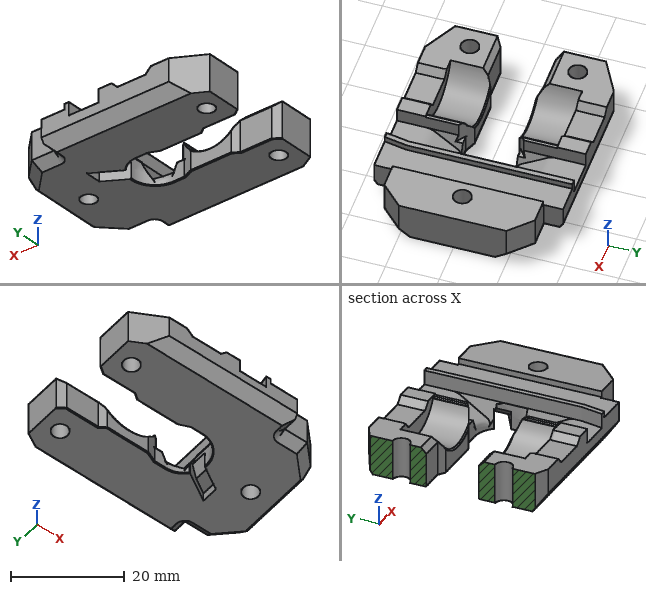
import cadquery as cq
import math

LENGTH = 44.55
WIDTH = 35.0
HEIGHT = 7.8
HALF_WIDTH = WIDTH / 2

NOSE_HALF_WIDTH = 13.95
ARM_TAPER_LENGTH = 6.45
BODY_END_X = 35.45
TAB_CORNER = 4.0

SIDE_BEVEL_WIDTH = 1.9
SIDE_BEVEL_HEIGHT = 2.9
REAR_BEVEL = 1.9
TAB_END_BEVEL = 0.45

HOLE_DIAMETER = 3.35
ARM_HOLE_X = 3.95
ARM_HOLE_Y = 10.0
TAB_HOLE_X = 39.05

ARM_INNER_Y = 5.1
ARM_TOP_BEVEL = 1.05
ARM_TIP_CORNER = 1.5
PAD_INNER_Y = 4.15
PAD_START_X = 8.65
PAD_FLAT_START_X = 9.95
PAD_FLAT_END_X = 19.2
PAD_END_X = 21.4
THROAT_ARC_X = 23.6
THROAT_END_X = 29.0
THROAT_FOOT_BEVEL = 0.2

SEAT_X = 14.95
SEAT_HALF_CHORD = 6.77
SEAT_DEPTH = 4.7
SEAT_OUTER_Y = 12.15
SEAT_RIM_BEVEL = 0.25
SEAT_RADIUS = (SEAT_HALF_CHORD**2 + SEAT_DEPTH**2) / (2 * SEAT_DEPTH)
SEAT_Z = HEIGHT - SEAT_DEPTH + SEAT_RADIUS

NOTCH_FLOOR_START_X = 11.8
NOTCH_FLOOR_END_X = 18.2
NOTCH_DEPTH = 1.3
NOTCH_END_FLARE = 0.2
NOTCH_END_FLARE_LENGTH = 0.5

SLOT_START_X = 22.5
SLOT_DEPTH = 2.8
WALL_X = 29.2
WALL_THICKNESS = 1.02
WALL_BEND_Y = -13.15
WALL_END_SHIFT = 0.75
LEDGE_END_X = 35.8
LEDGE_DEPTH = 1.15
SLOT_FLOOR_Z = HEIGHT - SLOT_DEPTH

LIP_START_X = 21.55
LIP_TOP_Z = 7.58
LIP_BEVEL = 0.3
LIP_CORNER_Z = 3.8
LIP_CORNER_X = 20.7
LIP_CORNER_Y = 6.9
LIP_CORNER_INNER_Y = 4.65

RAMP_TOP_Y = 11.15
RAMP_FOOT_Y = 5.75
RAMP_FOOT_Z = 2.55
RAMP_SIDE_INSET = 1.15
RAMP_TOP_RADIUS = 4.0
RAMP_INNER_Y = 2.67
RAMP_RIM_RADIUS = 1.35

RELIEF_X = 28.0
RELIEF_START_Y = 0.45
RELIEF_END_Y = 3.3
RELIEF_TOP_Z = 3.65
RELIEF_TUNNEL_X = 33.85
RELIEF_TUNNEL_SLOPE = 0.6
RELIEF_TUNNEL_Z = 1.95

HOLLOW_HALF_WIDTH = 4.1
HOLLOW_ARC_X = 26.85
HOLLOW_TOP_X = 29.0
HOLLOW_TOP_BULGE = 0.1

MARGIN = 2.25


def both_sides(shape):
    return shape.union(shape.mirror("XZ"))


def prism_along_y(points, y_start, y_end):
    """Extrude an (x, z) outline from y_start to y_end."""
    plane = cq.Workplane("XZ", origin=(0, y_start, 0))
    return plane.polyline(points).close().extrude(y_start - y_end)


def make_block():
    tab_corner_x = LENGTH - TAB_CORNER
    tab_corner_y = NOSE_HALF_WIDTH - TAB_CORNER
    side = [
        (0, NOSE_HALF_WIDTH),
        (ARM_TAPER_LENGTH, HALF_WIDTH),
        (BODY_END_X, HALF_WIDTH),
        (BODY_END_X, NOSE_HALF_WIDTH),
        (tab_corner_x, NOSE_HALF_WIDTH),
        (LENGTH, tab_corner_y),
    ]
    outline = side + [(x, -y) for x, y in reversed(side)]
    block = cq.Workplane("XY").polyline(outline).close().extrude(HEIGHT)

    section = [
        (-HALF_WIDTH + SIDE_BEVEL_WIDTH, 0),
        (HALF_WIDTH - SIDE_BEVEL_WIDTH, 0),
        (HALF_WIDTH, SIDE_BEVEL_HEIGHT),
        (HALF_WIDTH, HEIGHT),
        (-HALF_WIDTH, HEIGHT),
        (-HALF_WIDTH, SIDE_BEVEL_HEIGHT),
    ]
    block = block.intersect(cq.Workplane("YZ").polyline(section).close().extrude(LENGTH))

    overrun = REAR_BEVEL - TAB_END_BEVEL
    flare_side = [
        (-2 * REAR_BEVEL, WIDTH),
        (BODY_END_X, WIDTH),
        (BODY_END_X, NOSE_HALF_WIDTH),
        (tab_corner_x, NOSE_HALF_WIDTH),
        (LENGTH + overrun, tab_corner_y - overrun),
    ]
    flare = flare_side + [(x, -y) for x, y in reversed(flare_side)]
    base = cq.Workplane("XY", origin=(0, 0, REAR_BEVEL)).polyline(flare).close()
    base = base.extrude(-REAR_BEVEL, taper=45)
    upper = cq.Workplane("XY", origin=(0, 0, REAR_BEVEL)).rect(4 * LENGTH, 2 * WIDTH).extrude(HEIGHT)
    return block.intersect(base.union(upper))


def throat_outline(plane):
    """Plan of the throat, open at the arm tips and round at its end."""
    tip_y = ARM_INNER_Y + ARM_TOP_BEVEL
    tip_slope = ARM_TOP_BEVEL / ARM_TIP_CORNER
    side = [
        (-MARGIN, tip_y + MARGIN * tip_slope),
        (ARM_TIP_CORNER, ARM_INNER_Y),
        (PAD_START_X, ARM_INNER_Y),
        (PAD_FLAT_START_X, PAD_INNER_Y),
        (PAD_FLAT_END_X, PAD_INNER_Y),
        (PAD_END_X, ARM_INNER_Y),
        (THROAT_ARC_X, ARM_INNER_Y),
    ]
    outline = plane.polyline(side).threePointArc((THROAT_END_X, 0), (THROAT_ARC_X, -ARM_INNER_Y))
    for x, y in reversed(side[:-1]):
        outline = outline.lineTo(x, -y)
    return outline.close()


def make_throat():
    throat = throat_outline(cq.Workplane("XY")).extrude(HEIGHT)
    foot = throat_outline(cq.Workplane("XY")).offset2D(THROAT_FOOT_BEVEL, "intersection")
    foot = foot.extrude(THROAT_FOOT_BEVEL, taper=45)
    return throat.union(foot)


def make_arm_top_bevels():
    bevel = (
        cq.Workplane("YZ")
        .moveTo(0, HEIGHT)
        .lineTo(ARM_INNER_Y + ARM_TOP_BEVEL, HEIGHT)
        .lineTo(ARM_INNER_Y, HEIGHT - ARM_TOP_BEVEL)
        .lineTo(0, HEIGHT - ARM_TOP_BEVEL)
        .close()
        .extrude(SEAT_X)
    )
    return both_sides(bevel)


def make_seats():
    rim_y = PAD_INNER_Y + SEAT_RIM_BEVEL
    seat = (
        cq.Workplane("XY", origin=(SEAT_X, 0, SEAT_Z))
        .moveTo(0, 0)
        .lineTo(SEAT_RADIUS + SEAT_RIM_BEVEL, 0)
        .lineTo(SEAT_RADIUS + SEAT_RIM_BEVEL, PAD_INNER_Y)
        .lineTo(SEAT_RADIUS, rim_y)
        .lineTo(SEAT_RADIUS, SEAT_OUTER_Y)
        .lineTo(0, SEAT_OUTER_Y)
        .close()
        .revolve(360, (0, 0, 0), (0, 1, 0))
    )
    return both_sides(seat)


def notch_section(plane, growth):
    top_run = NOTCH_DEPTH + growth
    return (
        plane.moveTo(NOTCH_FLOOR_START_X - top_run, HEIGHT)
        .lineTo(NOTCH_FLOOR_START_X - growth, HEIGHT - NOTCH_DEPTH)
        .lineTo(NOTCH_FLOOR_END_X + growth, HEIGHT - NOTCH_DEPTH)
        .lineTo(NOTCH_FLOOR_END_X + top_run, HEIGHT)
        .close()
    )


def make_notch():
    plain = notch_section(cq.Workplane("XZ"), 0).extrude(HALF_WIDTH, both=True)
    start = cq.Workplane("XZ", origin=(0, SEAT_OUTER_Y, 0))
    flare = notch_section(start, NOTCH_END_FLARE).workplane(offset=-NOTCH_END_FLARE_LENGTH)
    flare = notch_section(flare, 0).loft(ruled=True)
    return plain.union(both_sides(flare))


def wall_plan(front_x, rear_x, front_leans, rear_leans):
    """Plan of a cross channel; a leaning edge follows the bend of the wall."""
    front_end = front_x - WALL_END_SHIFT * front_leans
    rear_end = rear_x - WALL_END_SHIFT * rear_leans
    return [
        (front_x, HALF_WIDTH),
        (rear_x, HALF_WIDTH),
        (rear_x, WALL_BEND_Y),
        (rear_end, -HALF_WIDTH),
        (front_end, -HALF_WIDTH),
        (front_x, WALL_BEND_Y),
    ]


def make_cross_channels():
    slot_plan = wall_plan(SLOT_START_X, WALL_X, False, True)
    slot = cq.Workplane("XY", origin=(0, 0, SLOT_FLOOR_Z)).polyline(slot_plan).close().extrude(SLOT_DEPTH)
    ledge_plan = wall_plan(WALL_X + WALL_THICKNESS, LEDGE_END_X, True, False)
    ledge = cq.Workplane("XY", origin=(0, 0, HEIGHT - LEDGE_DEPTH)).polyline(ledge_plan).close()
    return slot.union(ledge.extrude(LEDGE_DEPTH))


def make_lip_cuts():
    lip = prism_along_y(
        [
            (LIP_START_X, HEIGHT),
            (SLOT_START_X, HEIGHT),
            (SLOT_START_X, LIP_TOP_Z),
            (LIP_START_X + LIP_BEVEL, LIP_TOP_Z),
            (LIP_START_X, LIP_TOP_Z - LIP_BEVEL),
        ],
        0,
        SEAT_OUTER_Y,
    )
    funnel_x = SLOT_START_X + RAMP_SIDE_INSET
    corner = (
        cq.Workplane("XY", origin=(0, 0, LIP_CORNER_Z))
        .moveTo(LIP_CORNER_X, 0)
        .lineTo(funnel_x, 0)
        .lineTo(funnel_x, LIP_CORNER_Y)
        .lineTo(LIP_CORNER_X, LIP_CORNER_INNER_Y)
        .close()
        .extrude(HEIGHT - LIP_CORNER_Z)
    )
    return both_sides(lip.union(corner))


def make_funnel():
    """Space under the slot whose ends narrow with depth."""
    inset = RAMP_SIDE_INSET * SLOT_FLOOR_Z / (SLOT_FLOOR_Z - RAMP_FOOT_Z)
    return prism_along_y(
        [
            (SLOT_START_X, SLOT_FLOOR_Z),
            (WALL_X, SLOT_FLOOR_Z),
            (WALL_X - inset, 0),
            (SLOT_START_X + inset, 0),
        ],
        -HALF_WIDTH,
        HALF_WIDTH,
    )


def make_ramps():
    slope = (SLOT_FLOOR_Z - RAMP_FOOT_Z) / (RAMP_TOP_Y - RAMP_FOOT_Y)
    angle = math.atan(slope)
    crest = RAMP_TOP_RADIUS * math.tan(angle / 2)
    crest_mid_y = RAMP_TOP_Y + crest - RAMP_TOP_RADIUS * math.sin(angle / 2)
    crest_mid_z = SLOT_FLOOR_Z - RAMP_TOP_RADIUS * (1 - math.cos(angle / 2))
    crest_low_y = RAMP_TOP_Y - crest * math.cos(angle)
    crest_low_z = SLOT_FLOOR_Z - crest * math.sin(angle)
    ramp = (
        cq.Workplane("YZ", origin=(PAD_END_X, 0, 0))
        .moveTo(RAMP_INNER_Y, SLOT_FLOOR_Z)
        .lineTo(RAMP_TOP_Y + crest, SLOT_FLOOR_Z)
        .threePointArc((crest_mid_y, crest_mid_z), (crest_low_y, crest_low_z))
        .lineTo(RAMP_INNER_Y, RAMP_FOOT_Z - (RAMP_FOOT_Y - RAMP_INNER_Y) * slope)
        .close()
        .extrude(WALL_X - PAD_END_X)
    )
    throat_end = (
        cq.Workplane("XY")
        .moveTo(PAD_END_X, RAMP_INNER_Y)
        .lineTo(WALL_X, RAMP_INNER_Y)
        .lineTo(WALL_X, ARM_INNER_Y)
        .lineTo(PAD_END_X, ARM_INNER_Y)
        .close()
        .extrude(SLOT_FLOOR_Z)
        .intersect(throat_outline(cq.Workplane("XY")).extrude(SLOT_FLOOR_Z))
    )
    rim_low = (PAD_END_X, (RAMP_INNER_Y + ARM_INNER_Y) / 2, RAMP_FOOT_Z / 2)
    rim_high = (WALL_X, RAMP_FOOT_Y, RAMP_FOOT_Z)
    rim = cq.selectors.BoxSelector(rim_low, rim_high)
    ramp = ramp.union(throat_end).edges(rim).edges("not(|Z)").fillet(RAMP_RIM_RADIUS)
    return both_sides(ramp.intersect(make_funnel()))


def throat_end_plan(plane, side_x, end_x):
    """Block with one bulging end, used at the two levels of the flare."""
    return (
        plane.moveTo(THROAT_ARC_X, HOLLOW_HALF_WIDTH)
        .lineTo(side_x, HOLLOW_HALF_WIDTH)
        .threePointArc((end_x, 0), (side_x, -HOLLOW_HALF_WIDTH))
        .lineTo(THROAT_ARC_X, -HOLLOW_HALF_WIDTH)
        .close()
    )


def make_throat_hollow():
    """Flare from the round end of the throat up to the straight foot of the wall."""
    hollow = throat_end_plan(cq.Workplane("XY", origin=(0, 0, RAMP_FOOT_Z)), HOLLOW_ARC_X, THROAT_END_X)
    hollow = hollow.workplane(offset=SLOT_FLOOR_Z - RAMP_FOOT_Z)
    return throat_end_plan(hollow, HOLLOW_TOP_X, HOLLOW_TOP_X + HOLLOW_TOP_BULGE).loft(ruled=True)


def make_relief():
    mouth = (
        cq.Workplane("XY")
        .moveTo(THROAT_ARC_X, 0)
        .lineTo(THROAT_END_X, 0)
        .lineTo(THROAT_END_X, RELIEF_END_Y)
        .lineTo(THROAT_ARC_X, RELIEF_END_Y)
        .close()
        .extrude(SLOT_FLOOR_Z)
    )
    near_end_y = RELIEF_START_Y + RELIEF_TUNNEL_SLOPE * (RELIEF_TUNNEL_X - THROAT_END_X)
    far_end_y = RELIEF_END_Y + RELIEF_TUNNEL_SLOPE * (RELIEF_TUNNEL_X - RELIEF_X)
    tunnel = (
        cq.Workplane("XY")
        .moveTo(RELIEF_X, RELIEF_START_Y)
        .lineTo(THROAT_END_X, RELIEF_START_Y)
        .lineTo(RELIEF_TUNNEL_X, near_end_y)
        .lineTo(RELIEF_TUNNEL_X, far_end_y)
        .lineTo(RELIEF_X, RELIEF_END_Y)
        .close()
        .extrude(RELIEF_TOP_Z)
    )
    roof_end_x = THROAT_END_X + RELIEF_TOP_Z - RELIEF_TUNNEL_Z
    headroom = prism_along_y(
        [
            (RELIEF_X, 0),
            (RELIEF_TUNNEL_X, 0),
            (RELIEF_TUNNEL_X, RELIEF_TUNNEL_Z),
            (roof_end_x, RELIEF_TUNNEL_Z),
            (THROAT_END_X, RELIEF_TOP_Z),
            (RELIEF_X, RELIEF_TOP_Z),
        ],
        0,
        far_end_y,
    )
    return mouth.union(tunnel.intersect(headroom))


def make_holes():
    centres = [(ARM_HOLE_X, ARM_HOLE_Y), (ARM_HOLE_X, -ARM_HOLE_Y), (TAB_HOLE_X, 0)]
    return cq.Workplane("XY").pushPoints(centres).circle(HOLE_DIAMETER / 2).extrude(HEIGHT)


result = make_block()
for cutter in (
    make_throat(),
    make_arm_top_bevels(),
    make_seats(),
    make_notch(),
    make_cross_channels(),
    make_lip_cuts(),
    make_ramps(),
    make_throat_hollow(),
    make_relief(),
    make_holes(),
):
    result = result.cut(cutter)